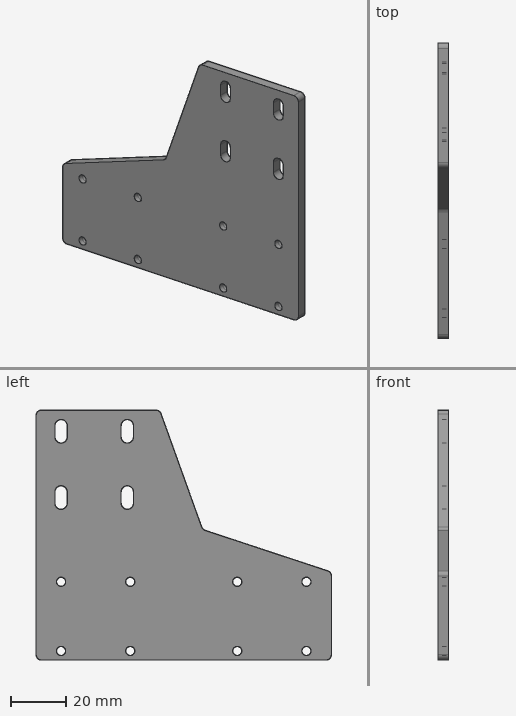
import cadquery as cq

thickness = 4.0
length = 107.0
height = 90.5

top_edge_length = 44.8
inner_corner_offset = 60.3
inner_corner_height = 47.3
low_side_height = 31.9
corner_radius = 2.0

hole_diameter = 3.2
hole_pitch = 25.0
hole_side_margin = 9.1
hole_bottom_margin = 3.3

slot_width = 4.4
slot_length = 8.5
slot_pitch = 24.0
slot_top_margin = 7.7

tall_side_y = length / 2
low_side_y = -length / 2
top_z = height / 2
bottom_z = -height / 2


def make_plate():
    """Six-sided plate with every corner rounded, centred on the origin."""
    outline = [
        (tall_side_y, bottom_z),
        (tall_side_y, top_z),
        (tall_side_y - top_edge_length, top_z),
        (tall_side_y - inner_corner_offset, bottom_z + inner_corner_height),
        (low_side_y, bottom_z + low_side_height),
        (low_side_y, bottom_z),
    ]
    plate = cq.Workplane("YZ").polyline(outline).close().extrude(thickness / 2, both=True)
    return plate.edges("|X").fillet(corner_radius)


def cut_mounting_holes(plate):
    """Drill a pair of holes near each end of the lower and upper hole rows."""
    first_y = tall_side_y - hole_side_margin
    last_y = low_side_y + hole_side_margin
    row_z = bottom_z + hole_bottom_margin
    centres = [
        (y, z)
        for y in (first_y, first_y - hole_pitch, last_y + hole_pitch, last_y)
        for z in (row_z, row_z + hole_pitch)
    ]
    holes = cq.Workplane("YZ").pushPoints(centres).circle(hole_diameter / 2)
    return plate.cut(holes.extrude(thickness, both=True))


def cut_slots(plate):
    """Cut four upright slots, the outer column in line with the outer holes."""
    first_y = tall_side_y - hole_side_margin
    row_z = top_z - slot_top_margin
    centres = [
        (y, z)
        for y in (first_y, first_y - slot_pitch)
        for z in (row_z, row_z - slot_pitch)
    ]
    slots = cq.Workplane("YZ").pushPoints(centres).slot2D(slot_length, slot_width, 90)
    return plate.cut(slots.extrude(thickness, both=True))


result = cut_slots(cut_mounting_holes(make_plate()))